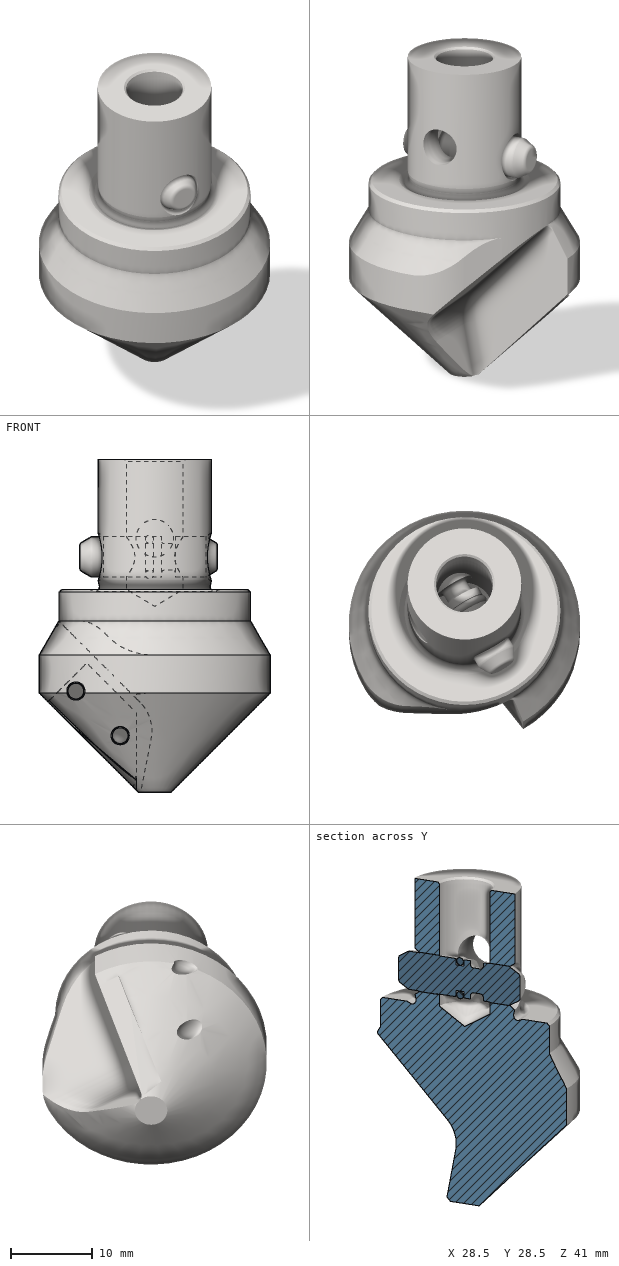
import cadquery as cq
import math

TOTAL_HEIGHT = 41.0
CUTTER_RADIUS = 14.25
RIM_BOTTOM_Z = 12.25
TIP_RADIUS = CUTTER_RADIUS - RIM_BOTTOM_Z
FLANGE_RADIUS = 11.82
FLANGE_BOTTOM_Z = 21.1
FLANGE_TOP_Z = 25.0
FLANGE_CHAMFER = 0.35
SHOULDER_ANGLE = math.radians(30)
RIM_TOP_Z = FLANGE_BOTTOM_Z - (CUTTER_RADIUS - FLANGE_RADIUS) / math.tan(SHOULDER_ANGLE)

SHANK_RADIUS = 7.0
UNDERCUT_TOP_Z = 26.15
UNDERCUT_NECK_Z = 25.45
UNDERCUT_RADIUS = 6.85
UNDERCUT_FILLET = 0.55
UNDERCUT_FLOOR_Z = 24.73
UNDERCUT_RIM_RADIUS = 8.05
BORE_RADIUS = 3.5
BORE_CHAMFER = 0.25
BORE_BOTTOM_Z = 25.0
DRILL_POINT_HALF_ANGLE = math.radians(59)
SIDE_HOLE_RADIUS = 2.3
SIDE_HOLE_Z = 31.3

RUNOUT_RADIUS = 7.5
RUNOUT_FILLET = 0.5
FLUTE_BEND_RADIUS = 5.0
FLUTE_BEND_TOP_Z = 11.1
OVERHANG_ANGLE = math.radians(45)
FLUTE_FLOOR_ANGLE = math.radians(11)
FLUTE_FILLET = 1.0
CLEAR = 10.0

INSERT_THICKNESS = 2.7
INSERT_WIDTH = 6.75
INSERT_NEAR_X = -2.25
INSERT_FAR_X = -13.15
RELIEF_START_X = -10.25

SCREW_RADIUS = 1.12
SCREW_CHAMFER = 0.15
SCREW_END_Y = -5.0
SCREW_POSITIONS = [(-9.72, 12.47), (-4.26, 6.98)]

PIN_Z = 29.0
PIN_RADIUS = 2.5
PIN_LEFT_X = -9.25
PIN_RIGHT_X = 7.72
PIN_TIP_RADIUS = 1.66
PIN_TAPER_ANGLE = math.radians(30)
PIN_TAPER_LENGTH = (PIN_RADIUS - PIN_TIP_RADIUS) / math.tan(PIN_TAPER_ANGLE)
PIN_ROUNDING = 0.5
NECK_START_X = 0.82
NECK_END_X = 2.55
NECK_RADIUS = 1.64
NECK_FILLET = 0.37
EDGE_TOLERANCE = 0.01
RING_X = -0.66
RING_SECTION_RADIUS = 0.5
RING_OUTER_RADIUS = 2.68
RING_CENTER_RADIUS = RING_OUTER_RADIUS - RING_SECTION_RADIUS
COUNTERSINK_RADIUS = 3.0
COUNTERSINK_DEPTH = 0.7


def cone_edge_z(radius):
    """Height at which the cutting cone has the given radius."""
    return radius - TIP_RADIUS


def prism_along_y(outline, y_start, y_end):
    """Extrude an outline of the XZ plane from y_start to y_end."""
    return outline(cq.Workplane("XZ", origin=(0, y_end, 0))).extrude(y_end - y_start)


def make_blank():
    """Revolved head and shank, without bore and flute."""
    fillet_center_r = UNDERCUT_RADIUS + UNDERCUT_FILLET
    fillet_center_z = UNDERCUT_FLOOR_Z + UNDERCUT_FILLET
    diagonal = UNDERCUT_FILLET * math.sqrt(0.5)
    return (
        cq.Workplane("XZ")
        .lineTo(TIP_RADIUS, 0)
        .lineTo(CUTTER_RADIUS, RIM_BOTTOM_Z)
        .lineTo(CUTTER_RADIUS, RIM_TOP_Z)
        .lineTo(FLANGE_RADIUS, FLANGE_BOTTOM_Z)
        .lineTo(FLANGE_RADIUS, FLANGE_TOP_Z - FLANGE_CHAMFER)
        .lineTo(FLANGE_RADIUS - FLANGE_CHAMFER, FLANGE_TOP_Z)
        .lineTo(UNDERCUT_RIM_RADIUS, FLANGE_TOP_Z)
        .lineTo(fillet_center_r, UNDERCUT_FLOOR_Z)
        .threePointArc(
            (fillet_center_r - diagonal, fillet_center_z - diagonal),
            (UNDERCUT_RADIUS, fillet_center_z),
        )
        .lineTo(UNDERCUT_RADIUS, UNDERCUT_NECK_Z)
        .lineTo(SHANK_RADIUS, UNDERCUT_TOP_Z)
        .lineTo(SHANK_RADIUS, TOTAL_HEIGHT)
        .lineTo(0, TOTAL_HEIGHT)
        .close()
        .revolve(360, (0, 0), (0, 1))
    )


def make_bore():
    """Blind bore with a chamfered mouth and a drill point."""
    point_z = BORE_BOTTOM_Z - BORE_RADIUS / math.tan(DRILL_POINT_HALF_ANGLE)
    return (
        cq.Workplane("XZ")
        .moveTo(0, point_z)
        .lineTo(BORE_RADIUS, BORE_BOTTOM_Z)
        .lineTo(BORE_RADIUS, TOTAL_HEIGHT - BORE_CHAMFER)
        .lineTo(BORE_RADIUS + BORE_CHAMFER, TOTAL_HEIGHT)
        .lineTo(0, TOTAL_HEIGHT)
        .close()
        .revolve(360, (0, 0), (0, 1))
    )


def make_side_hole():
    """Radial hole through the +Y wall of the shank."""
    return (
        cq.Workplane("XZ", origin=(0, SHANK_RADIUS, SIDE_HOLE_Z))
        .circle(SIDE_HOLE_RADIUS)
        .extrude(SHANK_RADIUS)
    )


def make_pin_hole():
    """Cross hole for the locking pin, countersunk at both ends."""
    straight_x = SHANK_RADIUS - COUNTERSINK_DEPTH
    return (
        cq.Workplane("XZ", origin=(0, 0, PIN_Z))
        .moveTo(-SHANK_RADIUS, 0)
        .lineTo(-SHANK_RADIUS, COUNTERSINK_RADIUS)
        .lineTo(-straight_x, PIN_RADIUS)
        .lineTo(straight_x, PIN_RADIUS)
        .lineTo(SHANK_RADIUS, COUNTERSINK_RADIUS)
        .lineTo(SHANK_RADIUS, 0)
        .close()
        .revolve(360, (0, 0), (1, 0))
    )


def make_rim_cut():
    """Vertical cut that takes the rim away down to the flange radius.

    Its side follows the flange, leaves it on a tangent line and is rounded into the rim at X = 0.
    """
    runout_center_y = CUTTER_RADIUS - RUNOUT_RADIUS
    tangent_angle = math.pi / 2 + math.acos((FLANGE_RADIUS - RUNOUT_RADIUS) / runout_center_y)
    runout_middle_angle = (tangent_angle + math.pi / 2) / 2
    tangent_point = (FLANGE_RADIUS * math.cos(tangent_angle), FLANGE_RADIUS * math.sin(tangent_angle))

    def runout_point(angle):
        x = RUNOUT_RADIUS * math.cos(angle)
        y = runout_center_y + RUNOUT_RADIUS * math.sin(angle)
        return (x, y)

    outside = CUTTER_RADIUS + CLEAR
    corner = cq.selectors.NearestToPointSelector((-FLANGE_RADIUS, 0, FLANGE_BOTTOM_Z / 2))
    flange_core = cq.Workplane("XY").circle(FLANGE_RADIUS).extrude(FLANGE_BOTTOM_Z)
    return (
        cq.Workplane("XY")
        .moveTo(-outside, 0)
        .lineTo(0, 0)
        .lineTo(*tangent_point)
        .lineTo(*runout_point(tangent_angle))
        .threePointArc(runout_point(runout_middle_angle), (0, CUTTER_RADIUS))
        .lineTo(0, outside)
        .lineTo(-outside, outside)
        .close()
        .extrude(FLANGE_BOTTOM_Z)
        .cut(flange_core)
        .edges(corner)
        .fillet(RUNOUT_FILLET)
    )


def make_flute():
    """Chip flute: a sloping overhang, a round bend and a steep floor, ending at Y = 0."""
    slope = math.tan(OVERHANG_ANGLE)
    bend_x = (FLANGE_BOTTOM_Z - FLUTE_BEND_TOP_Z) * slope - FLANGE_RADIUS
    center_x = bend_x - FLUTE_BEND_RADIUS * math.cos(OVERHANG_ANGLE)
    center_z = FLUTE_BEND_TOP_Z - FLUTE_BEND_RADIUS * math.sin(OVERHANG_ANGLE)

    def bend_point(angle):
        x = center_x + FLUTE_BEND_RADIUS * math.cos(angle)
        z = center_z + FLUTE_BEND_RADIUS * math.sin(angle)
        return (x, z)

    floor_x, floor_z = bend_point(-FLUTE_FLOOR_ANGLE)
    end_z = -CLEAR
    end_x = floor_x - (floor_z - end_z) * math.tan(FLUTE_FLOOR_ANGLE)
    outside = -CUTTER_RADIUS - CLEAR
    start_z = FLANGE_BOTTOM_Z - (FLANGE_RADIUS + outside) / slope

    def outline(plane):
        return (
            plane.moveTo(outside, start_z)
            .lineTo(bend_x, FLUTE_BEND_TOP_Z)
            .threePointArc(bend_point((OVERHANG_ANGLE - FLUTE_FLOOR_ANGLE) / 2), (floor_x, floor_z))
            .lineTo(end_x, end_z)
            .lineTo(outside, end_z)
            .close()
        )

    corner = cq.selectors.NearestToPointSelector((floor_x, 0, floor_z / 2))
    flute = prism_along_y(outline, 0, CUTTER_RADIUS + CLEAR)
    return flute.edges(corner).fillet(FLUTE_FILLET)


def make_insert_blank():
    """Insert plate before its tip relief; also the shape of its seat in the body."""
    near_z = cone_edge_z(-INSERT_NEAR_X)
    far_z = cone_edge_z(-INSERT_FAR_X)
    width_step = INSERT_WIDTH * math.sqrt(0.5)

    def outline(plane):
        return (
            plane.moveTo(INSERT_NEAR_X, near_z)
            .lineTo(INSERT_FAR_X, far_z)
            .lineTo(INSERT_FAR_X + width_step, far_z + width_step)
            .lineTo(INSERT_NEAR_X, near_z + 2 * width_step)
            .close()
        )

    return prism_along_y(outline, -INSERT_THICKNESS, 0)


def make_tip_relief():
    """Block that bevels the lower back of the insert, from the tip of the edge up along its back."""
    back_y = -INSERT_THICKNESS
    tip = cq.Vector(INSERT_NEAR_X, 0, cone_edge_z(-INSERT_NEAR_X))
    upper = cq.Vector(RELIEF_START_X, back_y, cone_edge_z(-RELIEF_START_X))
    lower = cq.Vector(INSERT_NEAR_X, back_y, cone_edge_z(math.hypot(INSERT_NEAR_X, back_y)))
    along = upper - tip
    outward = (lower - tip).cross(along)
    plane = cq.Plane(origin=tip, xDir=along, normal=outward)
    size = 2 * (CUTTER_RADIUS + CLEAR)
    return cq.Workplane(plane).rect(size, size).extrude(CLEAR)


def make_screw_cylinder(x, z, y_end):
    """Cylinder on a screw axis from the cutting face down to y_end."""
    return cq.Workplane("XZ", origin=(x, 0, z)).circle(SCREW_RADIUS).extrude(-y_end)


def make_pin():
    """Locking pin with tapered ends, a ring groove and a waisted neck."""
    groove_radius = RING_CENTER_RADIUS - RING_SECTION_RADIUS
    groove_start = RING_X - RING_SECTION_RADIUS
    groove_end = RING_X + RING_SECTION_RADIUS
    pin = (
        cq.Workplane("XZ", origin=(0, 0, PIN_Z))
        .moveTo(PIN_LEFT_X, 0)
        .lineTo(PIN_LEFT_X, PIN_TIP_RADIUS)
        .lineTo(PIN_LEFT_X + PIN_TAPER_LENGTH, PIN_RADIUS)
        .lineTo(groove_start, PIN_RADIUS)
        .lineTo(groove_start, groove_radius)
        .lineTo(groove_end, groove_radius)
        .lineTo(groove_end, PIN_RADIUS)
        .lineTo(NECK_START_X, PIN_RADIUS)
        .lineTo(NECK_START_X, NECK_RADIUS)
        .lineTo(NECK_END_X, NECK_RADIUS)
        .lineTo(NECK_END_X, PIN_RADIUS)
        .lineTo(PIN_RIGHT_X - PIN_TAPER_LENGTH, PIN_RADIUS)
        .lineTo(PIN_RIGHT_X, PIN_TIP_RADIUS)
        .lineTo(PIN_RIGHT_X, 0)
        .close()
        .revolve(360, (0, 0), (1, 0))
    )

    fillets = [
        (PIN_LEFT_X, PIN_TIP_RADIUS, PIN_ROUNDING),
        (PIN_LEFT_X + PIN_TAPER_LENGTH, PIN_RADIUS, PIN_ROUNDING),
        (NECK_START_X, NECK_RADIUS, NECK_FILLET),
        (NECK_END_X, NECK_RADIUS, NECK_FILLET),
        (PIN_RIGHT_X - PIN_TAPER_LENGTH, PIN_RADIUS, PIN_ROUNDING),
        (PIN_RIGHT_X, PIN_TIP_RADIUS, PIN_ROUNDING),
    ]
    for x, radius, rounding in fillets:
        near = (x - EDGE_TOLERANCE, -radius - EDGE_TOLERANCE, PIN_Z - radius - EDGE_TOLERANCE)
        far = (x + EDGE_TOLERANCE, radius + EDGE_TOLERANCE, PIN_Z + radius + EDGE_TOLERANCE)
        circle = cq.selectors.BoxSelector(near, far, boundingbox=True)
        pin = pin.edges("%CIRCLE").edges(circle).fillet(rounding)
    return pin


def make_ring():
    """Round-section ring seated in the groove of the pin."""
    return (
        cq.Workplane("XZ", origin=(0, 0, PIN_Z))
        .center(RING_X, RING_CENTER_RADIUS)
        .circle(RING_SECTION_RADIUS)
        .revolve(360, (0, -RING_CENTER_RADIUS), (1, -RING_CENTER_RADIUS))
    )


body = make_blank().cut(make_bore()).cut(make_side_hole()).cut(make_pin_hole())
body = body.cut(make_rim_cut()).cut(make_flute()).cut(make_insert_blank())
insert = make_insert_blank().cut(make_tip_relief())
screws = []
for screw_x, screw_z in SCREW_POSITIONS:
    hole = make_screw_cylinder(screw_x, screw_z, -CUTTER_RADIUS)
    body = body.cut(hole)
    insert = insert.cut(hole)
    screw = make_screw_cylinder(screw_x, screw_z, SCREW_END_Y)
    screws.append(screw.faces("<Y").chamfer(SCREW_CHAMFER))
pin = make_pin()
ring = make_ring()

result = cq.Compound.makeCompound(
    [body.val(), insert.val(), *[screw.val() for screw in screws], pin.val(), ring.val()]
)